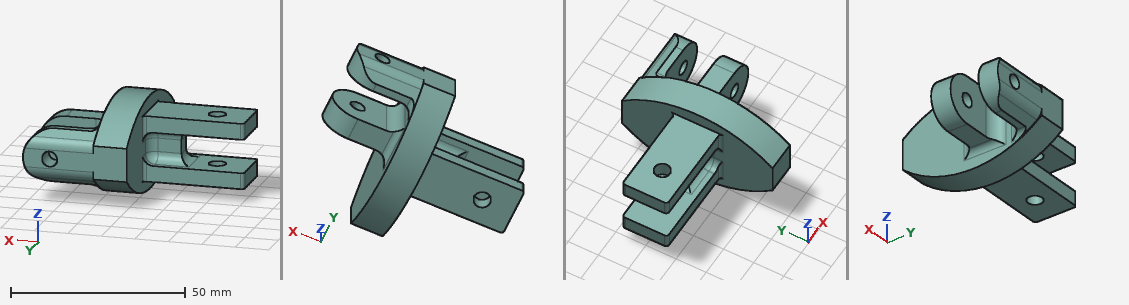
import cadquery as cq

plate_thickness = 10.0
plate_width = 50.0
plate_height = 28.0
plate_end_height = 10.0

fork_length = 30.0
fork_width = 15.0
fork_height = 19.65
fork_slot = 10.0
fork_corner_radius = 1.0
fork_hole_diameter = 5.0
fork_hole_from_tip = 10.0
web_length = 10.0
web_thickness = 5.0
pocket_radius = 3.0

lug_length = 21.0
lug_height = 16.0
lug_thickness = 7.0
lug_gap = 10.0
lug_hole_diameter = 4.5
lug_side_fillet = 4.0
lug_edge_fillet = 2.0
lug_inset = 0.25
lug_outer_fillet = 4.0

half_width = plate_width / 2
lug_root_x = plate_thickness
lug_tip_x = lug_root_x + lug_length
lug_radius = lug_height / 2
lug_centre_x = lug_tip_x - lug_radius
outer_lug_y = half_width - lug_thickness / 2
inner_lug_y = outer_lug_y - lug_thickness - lug_gap


def lens_prism(start_x, end_x, inset=0):
    """Prism along X with flat ends in Y and arched top and bottom, both moved inward by the inset."""
    end_z = plate_end_height / 2 - inset
    crown_z = plate_height / 2 - inset
    return (
        cq.Workplane("YZ", origin=(start_x, 0, 0))
        .moveTo(-half_width, -end_z)
        .lineTo(-half_width, end_z)
        .threePointArc((0, crown_z), (half_width, end_z))
        .lineTo(half_width, -end_z)
        .threePointArc((0, -crown_z), (-half_width, -end_z))
        .close()
        .extrude(end_x - start_x)
    )


def box_between(low, high):
    """Axis-aligned box given by two opposite corners."""
    size = [b - a for a, b in zip(low, high)]
    return cq.Workplane("XY").box(*size, centered=False).translate(low)


def root_flare(half_y, radius, height, side):
    """Concave fillet between the plate's fork face and one side of the fork."""
    block = box_between((-radius, 0, -height / 2), (0, radius, height / 2))
    relief = cq.Workplane("XY").center(-radius, radius).circle(radius).extrude(height, both=True)
    flare = block.cut(relief).translate((0, half_y, 0))
    return flare if side > 0 else flare.mirror("XZ")


def make_fork():
    """Two drilled prongs joined by a short web, with rounded inside corners."""
    half_y = fork_width / 2
    half_z = fork_height / 2
    fork = box_between((-fork_length, -half_y, -half_z), (0, half_y, half_z))
    fork = fork.edges("|Z and <X").fillet(fork_corner_radius)
    for side in (1, -1):
        fork = fork.union(root_flare(half_y, fork_corner_radius, fork_height, side))

    half_slot = fork_slot / 2
    front_pocket = box_between(
        (-2 * fork_length, -fork_width, -half_slot), (-web_length, fork_width, half_slot)
    )
    fork = fork.cut(front_pocket.edges("|Y and >X").fillet(pocket_radius))
    side_pocket = box_between(
        (-2 * fork_length, web_thickness / 2, -half_slot), (0, 2 * fork_width, half_slot)
    )
    side_pocket = side_pocket.edges("(|Z and >X and <Y) or (|Y and >X) or (|X and <Y)").fillet(pocket_radius)
    fork = fork.cut(side_pocket).cut(side_pocket.mirror("XZ"))

    hole = (
        cq.Workplane("XY")
        .center(fork_hole_from_tip - fork_length, 0)
        .circle(fork_hole_diameter / 2)
        .extrude(fork_height, both=True)
    )
    return fork.cut(hole)


def make_lug(centre_y):
    """Round-ended lug whose root flares into the plate on all four sides."""
    side_profile = (
        cq.Workplane("XZ")
        .moveTo(lug_root_x, -lug_radius - lug_edge_fillet)
        .radiusArc((lug_root_x + lug_edge_fillet, -lug_radius), lug_edge_fillet)
        .lineTo(lug_centre_x, -lug_radius)
        .threePointArc((lug_tip_x, 0), (lug_centre_x, lug_radius))
        .lineTo(lug_root_x + lug_edge_fillet, lug_radius)
        .radiusArc((lug_root_x, lug_radius + lug_edge_fillet), lug_edge_fillet)
        .close()
        .extrude(plate_width, both=True)
    )
    half_y = lug_thickness / 2
    plan_profile = (
        cq.Workplane("XY")
        .moveTo(lug_root_x, centre_y - half_y - lug_side_fillet)
        .radiusArc((lug_root_x + lug_side_fillet, centre_y - half_y), lug_side_fillet)
        .lineTo(lug_tip_x, centre_y - half_y)
        .lineTo(lug_tip_x, centre_y + half_y)
        .lineTo(lug_root_x + lug_side_fillet, centre_y + half_y)
        .radiusArc((lug_root_x, centre_y + half_y + lug_side_fillet), lug_side_fillet)
        .close()
        .extrude(plate_height, both=True)
    )
    hole = (
        cq.Workplane("XZ")
        .center(lug_centre_x, 0)
        .circle(lug_hole_diameter / 2)
        .extrude(plate_width, both=True)
    )
    return side_profile.intersect(plan_profile).cut(hole)


lug_envelope = lens_prism(lug_root_x, lug_tip_x, lug_inset)
lug_envelope = lug_envelope.edges("|X and >Y").fillet(lug_outer_fillet)
lugs = make_lug(outer_lug_y).union(make_lug(inner_lug_y)).intersect(lug_envelope)

result = lens_prism(0, plate_thickness).union(make_fork()).union(lugs)